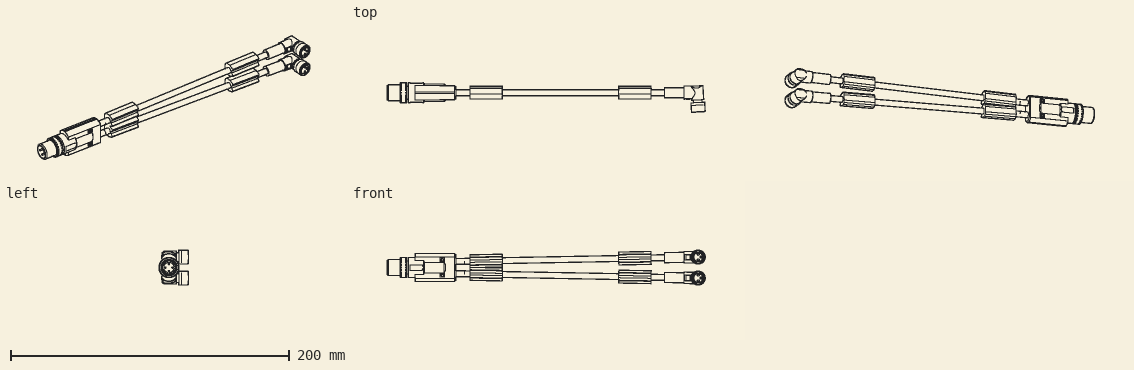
import cadquery as cq
import math

overall_length = 228.13
overall_height = 25.06

barrel_radius = 5.85
barrel_chamfer = 0.8
plug_radius = 7.25
ring_start = 9.2
ring_end = 14.3
ring_chamfer = 0.4
groove_end = 15.2
groove_radius = 4.75
plug_end = 26.6
plug_end_chamfer = 0.7

notch_count = 24
notch_length = 1.2
notch_width = 0.6
notch_depth = 0.4

bore_radius = 4.6
bore_depth = 6.0
insert_radius = 3.7
insert_depth = 4.0
pin_radius = 0.5
pin_circle_radius = 2.5
pin_length = 3.5
pin_count = 4
key_width = 1.0
key_overlap = 1.0

arrow_start = 16.5
arrow_shoulder = 25.0
arrow_tip = 26.2
arrow_half_width = 2.0
arrow_flat_y = math.sqrt(plug_radius**2 - arrow_half_width**2)

block_start = 20.1
block_end = 49.2
block_half_height = 10.0
block_side_half_height = 7.7
block_half_depth = 5.15
block_end_chamfer = 0.8
rib_width = 1.3
rib_height = 0.1
boss_radius = 6.4
boss_end = 41.7
boss_chamfer = 0.8

window_start = 37.9
window_length = 3.3
window_low_z = 4.3
window_height = 2.5
window_depth = 0.8
lens_radius = 0.8

cable_radius = 2.2
cable_exit_z = 4.47
bend_x = 55.3

marker_starts = (59.3, 166.0)
marker_length = 23.3
marker_half_height = 4.7
marker_back_y = 5.0
marker_front_y = -4.6
marker_back_top_y = 2.9
marker_back_corner = (4.3, 3.6)
marker_back_side_z = 2.0
marker_slope_y = -1.0
marker_lip_corner = (-3.7, 3.7)
marker_lip_z = 3.0
marker_groove_outer_z = 2.6
marker_groove_inner_z = 0.8
marker_groove_floor_y = -3.2

grip_start = 198.8
grip_end = 212.8
grip_radius = 3.7
elbow_half_depth = 4.85
elbow_half_height = 4.2
elbow_radius = 4.45
elbow_back_y = 4.9
elbow_front_y = -5.2
elbow_bevel_y = 1.6
elbow_bevel_z = 1.5
neck_radius = 3.2
collar_y = -7.0
socket_radius = 5.0
socket_tip_y = -13.89
socket_tip_chamfer = 0.3
socket_tilt = 3.5
socket_gap_outer = 4.3
socket_gap_inner = 3.3
socket_gap_depth = 5.0
contact_radius = 0.7
contact_circle_radius = 2.0
contact_depth = 3.0
contact_angles = (-90, 0, 90)

pad_centre_x = 215.8
pad_width = 2.7
pad_height = 3.5
trench_width = 5.0
trench_height = 5.0
trench_floor_y = -4.2

tilt = math.radians(socket_tilt)
socket_z = overall_height / 2 - socket_radius
arm_rise = socket_z - cable_exit_z
arm_reach = math.hypot(overall_length - bend_x, arm_rise)
rim_y = socket_tip_y + socket_tip_chamfer
rim_offset = -rim_y * math.sin(tilt)
elbow_x = bend_x + arm_reach - rim_offset - socket_radius * math.cos(tilt)
spread_angle = math.degrees(math.atan2(arm_rise, elbow_x + rim_offset - bend_x))


def rod(start, end, radius):
    """Cylinder on the X axis."""
    return cq.Workplane("YZ", origin=(start, 0, 0)).circle(radius).extrude(end - start)


def post(start_y, end_y, radius):
    """Cylinder along Y through the elbow's corner point, running towards -Y."""
    return cq.Workplane("XZ", origin=(elbow_x, start_y, 0)).circle(radius).extrude(start_y - end_y)


def box_at(start, size):
    """Box from its lowest corner and its size."""
    return cq.Workplane("XY").box(*size, centered=False).translate(start)


def make_ring():
    ring = rod(ring_start, ring_end, plug_radius).edges("%CIRCLE").chamfer(ring_chamfer)
    notches = cq.Workplane("XY")
    for start in (ring_start, ring_end - notch_length):
        notch = box_at(
            (start, -notch_width / 2, plug_radius - notch_depth),
            (notch_length, notch_width, 2 * notch_depth),
        )
        for step in range(notch_count):
            angle = step * 360 / notch_count
            notches = notches.add(notch.rotate((0, 0, 0), (1, 0, 0), angle))
    return ring.cut(notches.combine())


def cut_plug_face(plug):
    """Hollow the plug tip around a keyed insert that carries the contact pins."""
    plug = plug.cut(rod(0, bore_depth, bore_radius))
    plug = plug.union(rod(insert_depth, bore_depth, insert_radius))
    key = box_at(
        (insert_depth, -key_width / 2, -bore_radius),
        (bore_depth - insert_depth, key_width, bore_radius - insert_radius + key_overlap),
    )
    plug = plug.union(key)
    for step in range(pin_count):
        pin = rod(insert_depth - pin_length, bore_depth, pin_radius).translate((0, 0, pin_circle_radius))
        plug = plug.union(pin.rotate((0, 0, 0), (1, 0, 0), step * 360 / pin_count))
    return plug


def make_plug():
    barrel = rod(0, ring_start, barrel_radius).faces("<X").chamfer(barrel_chamfer)
    neck = rod(ring_end, groove_end, groove_radius)
    body = rod(groove_end, plug_end, plug_radius).faces(">X").chamfer(plug_end_chamfer)
    arrow = (
        cq.Workplane("XZ", origin=(0, -arrow_flat_y, 0))
        .moveTo(arrow_start, -arrow_half_width)
        .lineTo(arrow_shoulder, -arrow_half_width)
        .lineTo(arrow_tip, 0)
        .lineTo(arrow_shoulder, arrow_half_width)
        .lineTo(arrow_start, arrow_half_width)
        .close()
        .extrude(plug_radius)
    )
    body = body.cut(arrow).cut(arrow.mirror("XZ"))
    return cut_plug_face(barrel.union(make_ring()).union(neck).union(body))


def make_windows():
    """Rectangular pockets, each with a round lens, on both sides of the block."""
    pocket = box_at(
        (window_start, -block_half_depth, window_low_z),
        (window_length, window_depth, window_height),
    )
    lens = (
        cq.Workplane("XZ", origin=(window_start + window_length / 2, 0, window_low_z + window_height / 2))
        .circle(lens_radius)
        .extrude(block_half_depth)
    )
    window = pocket.cut(lens)
    window = window.union(window.mirror("XY"))
    return window.union(window.mirror("XZ"))


def make_splitter():
    housing = (
        cq.Workplane("YZ", origin=(block_start, 0, 0))
        .moveTo(-block_half_depth, -block_side_half_height)
        .threePointArc((0, -block_half_height), (block_half_depth, -block_side_half_height))
        .lineTo(block_half_depth, block_side_half_height)
        .threePointArc((0, block_half_height), (-block_half_depth, block_side_half_height))
        .close()
        .extrude(block_end - block_start)
        .faces(">X")
        .chamfer(block_end_chamfer)
    )
    boss = rod(block_start, boss_end, boss_radius).faces(">X").chamfer(boss_chamfer)
    rib = box_at(
        (block_start, -rib_width / 2, -block_half_height - rib_height),
        (block_end - block_end_chamfer - block_start, rib_width, 2 * (block_half_height + rib_height)),
    )
    return housing.union(rib).cut(make_windows()).union(boss)


def make_marker(start):
    """Cable marker with a tapered groove along its front between two lips."""
    half_outline = [
        (marker_groove_floor_y, marker_groove_inner_z),
        (marker_front_y, marker_groove_outer_z),
        (marker_front_y, marker_lip_z),
        marker_lip_corner,
        (marker_slope_y, marker_half_height),
        (marker_back_top_y, marker_half_height),
        marker_back_corner,
        (marker_back_y, marker_back_side_z),
    ]
    mirrored = [(y, -z) for y, z in reversed(half_outline)]
    return (
        cq.Workplane("YZ", origin=(start, 0, 0))
        .polyline(half_outline + mirrored)
        .close()
        .extrude(marker_length)
    )


def bevel_elbow(corner):
    """Cut the upper and lower edges off the back of the elbow."""
    bevel = (
        cq.Workplane("YZ", origin=(elbow_x - elbow_radius, 0, 0))
        .moveTo(elbow_back_y, elbow_radius)
        .lineTo(elbow_back_y - elbow_bevel_y, elbow_radius)
        .lineTo(elbow_back_y, elbow_radius - elbow_bevel_z)
        .close()
        .extrude(2 * elbow_radius)
    )
    return corner.cut(bevel).cut(bevel.mirror("XY"))


def make_socket():
    """Tilted outlet of the elbow: post, neck and ringed contact face."""
    corner = bevel_elbow(post(elbow_back_y, elbow_front_y, elbow_radius))
    neck = post(elbow_front_y, collar_y, neck_radius)
    shell = post(collar_y, socket_tip_y, socket_radius).faces("<Y").chamfer(socket_tip_chamfer)
    gap_start = socket_tip_y + socket_gap_depth
    gap = post(gap_start, socket_tip_y, socket_gap_outer).cut(post(gap_start, socket_tip_y, socket_gap_inner))
    shell = shell.cut(gap)
    contact = post(socket_tip_y + contact_depth, socket_tip_y, contact_radius)
    for angle in contact_angles:
        dx = contact_circle_radius * math.cos(math.radians(angle))
        dz = contact_circle_radius * math.sin(math.radians(angle))
        shell = shell.cut(contact.translate((dx, 0, dz)))
    socket = corner.union(neck).union(shell)
    return socket.rotate((elbow_x, 0, 0), (elbow_x, 0, 1), socket_tilt)


def make_elbow():
    grip = rod(grip_start, grip_end, grip_radius)
    shoulder = (
        cq.Workplane("YZ", origin=(grip_end, 0, 0))
        .ellipse(elbow_half_depth, elbow_half_height)
        .extrude(elbow_x - grip_end)
    )
    trench = (
        cq.Workplane("XZ", origin=(pad_centre_x, trench_floor_y, 0))
        .rect(trench_width, trench_height)
        .rect(pad_width, pad_height)
        .extrude(elbow_half_depth)
    )
    return grip.union(shoulder.cut(trench)).union(make_socket())


def make_branch():
    """Upper cable with its markers and socket, spread about the bend."""
    arm = rod(bend_x, grip_start, cable_radius).union(make_elbow())
    for start in marker_starts:
        arm = arm.union(make_marker(start))
    arm = arm.rotate((bend_x, 0, 0), (bend_x, 1, 0), -spread_angle)
    lead = rod(block_end, bend_x, cable_radius)
    return lead.union(arm).translate((0, 0, cable_exit_z))


branch = make_branch()
result = make_plug().union(make_splitter()).union(branch).union(branch.mirror("XY"))